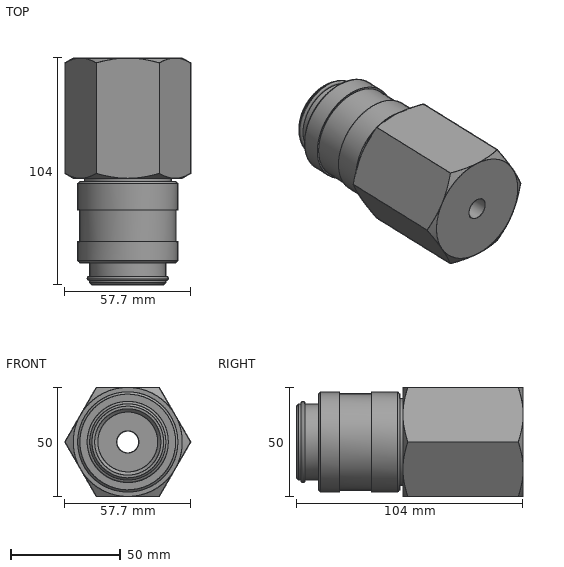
import cadquery as cq
import math

length = 104.0
across_flats = 50.0
across_corners = across_flats / math.cos(math.pi / 6)
hex_start = 48.9
hex_chamfer_angle = math.radians(30)

neck_radius = 20.0
sleeve_start = 10.1
sleeve_end = 47.4
sleeve_radius = 22.2
collar_radius = 23.0
collar_chamfer = 1.0
front_collar_end = 19.9
rear_collar_start = 34.4

spigot_radius = 17.5
spigot_chamfer = 1.0
ring_center = 3.0
ring_wire_radius = 0.9
ring_radius = 18.6

socket_radius = 13.7
socket_chamfer = 1.5
socket_depth = 41.6
passage_radius = 5.0


def revolve_profile(points):
    """Turn a closed (radius, Y) outline about the Y axis."""
    return cq.Workplane("XY").polyline(points).close().revolve(360, (0, 0, 0), (0, 1, 0))


def cylinder(radius, start, end):
    return revolve_profile([(0, start), (radius, start), (radius, end), (0, end)])


def hex_body():
    prism = (
        cq.Workplane("XZ", origin=(0, hex_start, 0))
        .polygon(6, across_corners)
        .extrude(hex_start - length)
    )
    face_radius = across_flats / 2
    corner_radius = across_corners / 2
    drop = (corner_radius - face_radius) * math.tan(hex_chamfer_angle)
    envelope = revolve_profile([
        (0, hex_start),
        (face_radius, hex_start),
        (corner_radius, hex_start + drop),
        (corner_radius, length - drop),
        (face_radius, length),
        (0, length),
    ])
    return prism.intersect(envelope)


def sleeve():
    front_collar = cylinder(collar_radius, sleeve_start, front_collar_end).faces("<Y").chamfer(collar_chamfer)
    rear_collar = cylinder(collar_radius, rear_collar_start, sleeve_end).faces(">Y").chamfer(collar_chamfer)
    barrel = cylinder(sleeve_radius, front_collar_end, rear_collar_start)
    neck = cylinder(neck_radius, sleeve_end, hex_start)
    return front_collar.union(barrel).union(rear_collar).union(neck)


def spigot():
    tube = cylinder(spigot_radius, 0, sleeve_start).faces("<Y").chamfer(spigot_chamfer)
    ring = (
        cq.Workplane("XY")
        .center(ring_radius - ring_wire_radius, ring_center)
        .circle(ring_wire_radius)
        .revolve(360, (ring_wire_radius - ring_radius, 0, 0), (ring_wire_radius - ring_radius, 1, 0))
    )
    return tube.union(ring)


def bore():
    socket = revolve_profile([
        (0, 0),
        (socket_radius + socket_chamfer, 0),
        (socket_radius, socket_chamfer),
        (socket_radius, socket_depth),
        (0, socket_depth),
    ])
    return socket.union(cylinder(passage_radius, 0, length))


result = hex_body().union(sleeve()).union(spigot()).cut(bore())